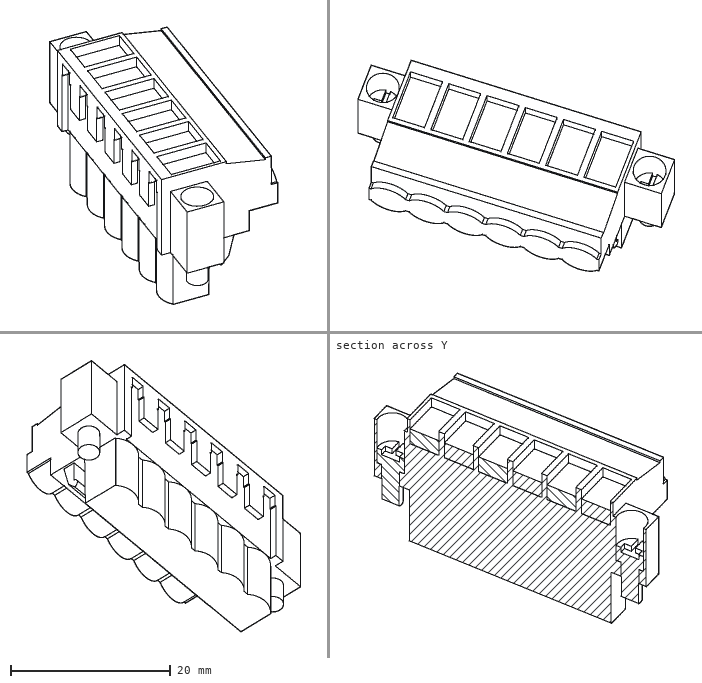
import cadquery as cq
import math


POLE_COUNT = 6
PITCH = 5.08
POLE_X = [(i - (POLE_COUNT - 1) / 2) * PITCH for i in range(POLE_COUNT)]

TOTAL_LENGTH = 40.3
HOUSING_LENGTH = 30.55
HOUSING_HEIGHT = 11.7
HOUSING_DEPTH = 15.23
UNDERSIDE_DEPTH = 12.15
ROOF_DEPTH = 9.0
SLOPE_TOP_Z = 11.35
SLOPE_LOW_Z = 10.3
RIM_TOP_Z = 10.6
RIM_WIDTH = 0.85

ENTRY_DEPTH = 16.1
ENTRY_AXIS_Z = 4.65
ENTRY_RADIUS = 2.78
ENTRY_SLAB_HEIGHT = 3.15

RECESS_DEPTH = 0.85
RECESS_TOP_Z = 10.55
RECESS_SHOULDER_Z = 8.75
TOOTH_TIP_Z = 5.08
SLOT_TOP_WIDTH = 2.1
SLOT_WIDTH = 2.4

POCKET_WIDTH = 4.23
POCKET_FRONT_Y = 1.57
POCKET_BACK_Y = 8.38
BUTTON_TOP_DROP = 1.5
BUTTON_HEIGHT = 2.4

PLUG_HEIGHT = 8.38
PLUG_LENGTH = 29.95
PLUG_FRONT_Y = RECESS_DEPTH
PLUG_WEB_Y = 1.75
PLUG_BACK_Y = 6.8
PLUG_BACK_TAPER = 0.12
PLUG_RIB_WIDTH = 4.4

HOOK_ROOT_FRONT_Y = 8.55
HOOK_ROOT_BACK_Y = 10.25
HOOK_KNEE = (9.45, -3.22)
HOOK_TIP = (8.4, -4.35)
HOOK_NOSE = (8.0, -3.63)
HOOK_NECK_Z = -3.02

FLANGE_HEIGHT = 9.45
FLANGE_FRONT_Y = 1.25
FLANGE_DEPTH = 5.08
FLANGE_LENGTH = (TOTAL_LENGTH - HOUSING_LENGTH) / 2
SCREW_X = (TOTAL_LENGTH - FLANGE_LENGTH) / 2
SCREW_Y = FLANGE_FRONT_Y + FLANGE_DEPTH / 2
HEAD_RADIUS = 2.05
HEAD_SEAT_Z = 2.4
HEAD_HEIGHT = 2.4
SHANK_RADIUS = 1.35
SHANK_TIP_Z = -3.3
DRIVE_DEPTH = 0.8
LONG_SLOT_LENGTH = 2 * HEAD_RADIUS
LONG_SLOT_WIDTH = 0.6
SHORT_SLOT_LENGTH = 2.6
SHORT_SLOT_WIDTH = 0.85


def box(x_center, x_size, y_start, y_end, z_start, z_end):
    """Block centred in X and given by its limits in Y and Z."""
    base = cq.Workplane("XY", origin=(x_center, y_start, z_start))
    return base.box(x_size, y_end - y_start, z_end - z_start, centered=(True, False, False))


def extrude_along_x(points, length):
    """Prism of a (y, z) outline, centred in X."""
    return cq.Workplane("YZ").polyline(points).close().extrude(length / 2, both=True)


def housing_block():
    """Main block with a sloping roof and a small rim along the back edge."""
    rim_front_y = HOUSING_DEPTH - RIM_WIDTH
    outline = [
        (0, 0),
        (0, HOUSING_HEIGHT),
        (ROOF_DEPTH, HOUSING_HEIGHT),
        (ROOF_DEPTH, SLOPE_TOP_Z),
        (rim_front_y, SLOPE_LOW_Z),
        (rim_front_y, RIM_TOP_Z),
        (HOUSING_DEPTH, RIM_TOP_Z),
        (HOUSING_DEPTH, ENTRY_AXIS_Z),
        (UNDERSIDE_DEPTH, ENTRY_AXIS_Z),
        (UNDERSIDE_DEPTH, 0),
    ]
    return extrude_along_x(outline, HOUSING_LENGTH)


def wire_entries():
    """Slab across the back with a round bulge above and below at each pole."""
    half_slab = ENTRY_SLAB_HEIGHT / 2
    slab = box(
        0, HOUSING_LENGTH, UNDERSIDE_DEPTH, ENTRY_DEPTH,
        ENTRY_AXIS_Z - half_slab, ENTRY_AXIS_Z + half_slab,
    )
    half_chord = math.sqrt(ENTRY_RADIUS**2 - half_slab**2)
    for x in POLE_X:
        bulge = (
            cq.Workplane("XZ", origin=(x, ENTRY_DEPTH, ENTRY_AXIS_Z))
            .moveTo(-half_chord, -half_slab)
            .lineTo(-half_chord, half_slab)
            .threePointArc((0, ENTRY_RADIUS), (half_chord, half_slab))
            .lineTo(half_chord, -half_slab)
            .threePointArc((0, -ENTRY_RADIUS), (-half_chord, -half_slab))
            .close()
            .extrude(ENTRY_DEPTH - UNDERSIDE_DEPTH)
        )
        slab = slab.union(bulge)
    return slab


def front_recess():
    """Comb-shaped space: a slot up at each pole, stepped to a narrower top."""
    length = POLE_X[-1] - POLE_X[0] + SLOT_WIDTH
    space = box(0, length, 0, RECESS_DEPTH, 0, TOOTH_TIP_Z)
    for x in POLE_X:
        space = space.union(box(x, SLOT_WIDTH, 0, RECESS_DEPTH, 0, RECESS_SHOULDER_Z))
        space = space.union(box(x, SLOT_TOP_WIDTH, 0, RECESS_DEPTH, 0, RECESS_TOP_Z))
    return space


def plug():
    """Plug with one rounded rib per pole at the front and a tapered back."""
    outline = [
        (PLUG_WEB_Y, 0),
        (PLUG_BACK_Y, 0),
        (PLUG_BACK_Y - PLUG_BACK_TAPER, -PLUG_HEIGHT),
        (PLUG_WEB_Y, -PLUG_HEIGHT),
    ]
    body = extrude_along_x(outline, PLUG_LENGTH)
    half_rib = PLUG_RIB_WIDTH / 2
    for x in POLE_X:
        rib = (
            cq.Workplane("XY", origin=(x, 0, -PLUG_HEIGHT))
            .moveTo(-half_rib, PLUG_WEB_Y)
            .threePointArc((0, PLUG_FRONT_Y), (half_rib, PLUG_WEB_Y))
            .close()
            .extrude(PLUG_HEIGHT)
        )
        body = body.union(rib)
    return body


def latch_hook():
    """Hook along the underside, with a rounded nose pointing to the front."""
    return (
        cq.Workplane("YZ")
        .moveTo(HOOK_ROOT_FRONT_Y, 0)
        .lineTo(HOOK_ROOT_BACK_Y, 0)
        .lineTo(*HOOK_KNEE)
        .lineTo(*HOOK_TIP)
        .threePointArc(HOOK_NOSE, (HOOK_ROOT_FRONT_Y, HOOK_NECK_Z))
        .close()
        .extrude(PLUG_LENGTH / 2, both=True)
    )


def flange(side):
    """Side block for one screw."""
    return box(
        side * SCREW_X, FLANGE_LENGTH, FLANGE_FRONT_Y, FLANGE_FRONT_Y + FLANGE_DEPTH, 0, FLANGE_HEIGHT
    )


def cylinder(x, radius, z_start, z_end):
    """Upright cylinder on a screw axis."""
    return cq.Workplane("XY", origin=(x, SCREW_Y, z_start)).circle(radius).extrude(z_end - z_start)


def screw_hole(side):
    """Counterbored hole through one flange."""
    x = side * SCREW_X
    bore = cylinder(x, HEAD_RADIUS, HEAD_SEAT_Z, FLANGE_HEIGHT)
    return bore.union(cylinder(x, SHANK_RADIUS, 0, HEAD_SEAT_Z))


def make_screw(side):
    """Screw with a cross slot, its head sunk in the flange bore."""
    x = side * SCREW_X
    head_top_z = HEAD_SEAT_Z + HEAD_HEIGHT
    head = cylinder(x, HEAD_RADIUS, HEAD_SEAT_Z, head_top_z)
    screw = head.union(cylinder(x, SHANK_RADIUS, SHANK_TIP_Z, HEAD_SEAT_Z))
    for x_size, y_size in (
        (LONG_SLOT_WIDTH, LONG_SLOT_LENGTH),
        (SHORT_SLOT_LENGTH, SHORT_SLOT_WIDTH),
    ):
        y_start = SCREW_Y - y_size / 2
        screw = screw.cut(box(x, x_size, y_start, y_start + y_size, head_top_z - DRIVE_DEPTH, head_top_z))
    return screw


def make_button(x):
    """Rectangular button filling the lower part of one roof pocket."""
    top_z = HOUSING_HEIGHT - BUTTON_TOP_DROP
    return box(x, POCKET_WIDTH, POCKET_FRONT_Y, POCKET_BACK_Y, top_z - BUTTON_HEIGHT, top_z)


def pocket(x):
    """Roof pocket for one button."""
    floor_z = HOUSING_HEIGHT - BUTTON_TOP_DROP - BUTTON_HEIGHT
    return box(x, POCKET_WIDTH, POCKET_FRONT_Y, POCKET_BACK_Y, floor_z, HOUSING_HEIGHT)


def make_housing():
    """Housing with plug, latch hook and screw flanges in one piece."""
    body = housing_block().union(wire_entries()).cut(front_recess())
    body = body.union(plug()).union(latch_hook())
    for x in POLE_X:
        body = body.cut(pocket(x))
    for side in (-1, 1):
        body = body.union(flange(side)).cut(screw_hole(side))
    return body


housing = make_housing()
buttons = [make_button(x) for x in POLE_X]
screws = [make_screw(side) for side in (-1, 1)]

result = cq.Compound.makeCompound(
    [housing.val(), *[button.val() for button in buttons], *[screw.val() for screw in screws]]
)